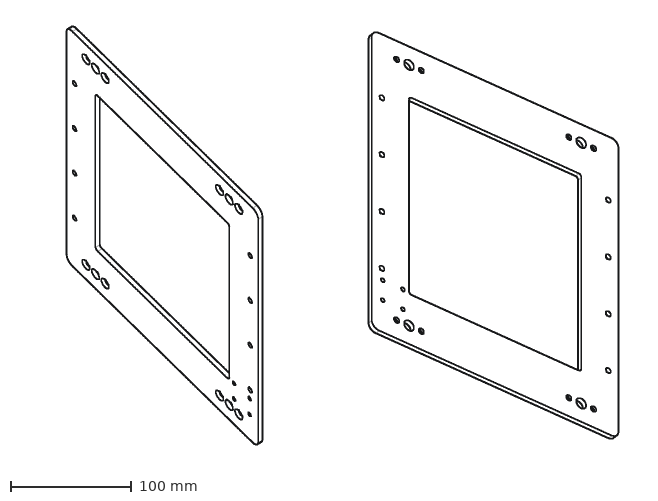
import cadquery as cq

WIDTH = 254.0
HEIGHT = 310.0
THICKNESS = 4.5
CORNER_RADIUS = 7.5

WINDOW_WIDTH = 177.3
WINDOW_HEIGHT = 205.0
WINDOW_RADIUS = 2.8

GROUP_X = WINDOW_WIDTH / 2
GROUP_Z = 135.7
GROUP_PITCH = 12.7
PLAIN_DIAMETER = 10.0
SCREW_DIAMETER = 5.3
SINK_DIAMETER = 10.0
SINK_ANGLE = 90

SIDE_X = 116.5
SIDE_PITCH = 59.2
SIDE_COUNT = 4
SIDE_DIAMETER = 5.0

SMALL_PITCH = 20.8
SMALL_X = 105.5
SMALL_Z = -111.2
SMALL_DIAMETER = 3.7


def on_front(body):
    """Front-face workplane: local x is X, local y is Z, normal is -Y."""
    return body.faces("<Y").workplane(origin=(0, -THICKNESS / 2, 0))


def make_frame():
    plate = cq.Workplane("XY").box(WIDTH, THICKNESS, HEIGHT).edges("|Y").fillet(CORNER_RADIUS)
    window = cq.Workplane("XY").box(WINDOW_WIDTH, THICKNESS, WINDOW_HEIGHT).edges("|Y").fillet(WINDOW_RADIUS)
    return plate.cut(window)


def add_mounting_groups(body):
    centers = [(sx * GROUP_X, sz * GROUP_Z) for sx in (-1, 1) for sz in (-1, 1)]
    screws = [(x + side * GROUP_PITCH, z) for x, z in centers for side in (-1, 1)]
    body = on_front(body).pushPoints(centers).hole(PLAIN_DIAMETER)
    return on_front(body).pushPoints(screws).cskHole(SCREW_DIAMETER, SINK_DIAMETER, SINK_ANGLE)


def add_side_holes(body):
    return on_front(body).rarray(2 * SIDE_X, SIDE_PITCH, 2, SIDE_COUNT).hole(SIDE_DIAMETER)


def add_small_holes(body):
    pattern = on_front(body).center(SMALL_X, SMALL_Z)
    return pattern.rarray(SMALL_PITCH, SMALL_PITCH, 2, 2).hole(SMALL_DIAMETER)


result = add_small_holes(add_side_holes(add_mounting_groups(make_frame())))